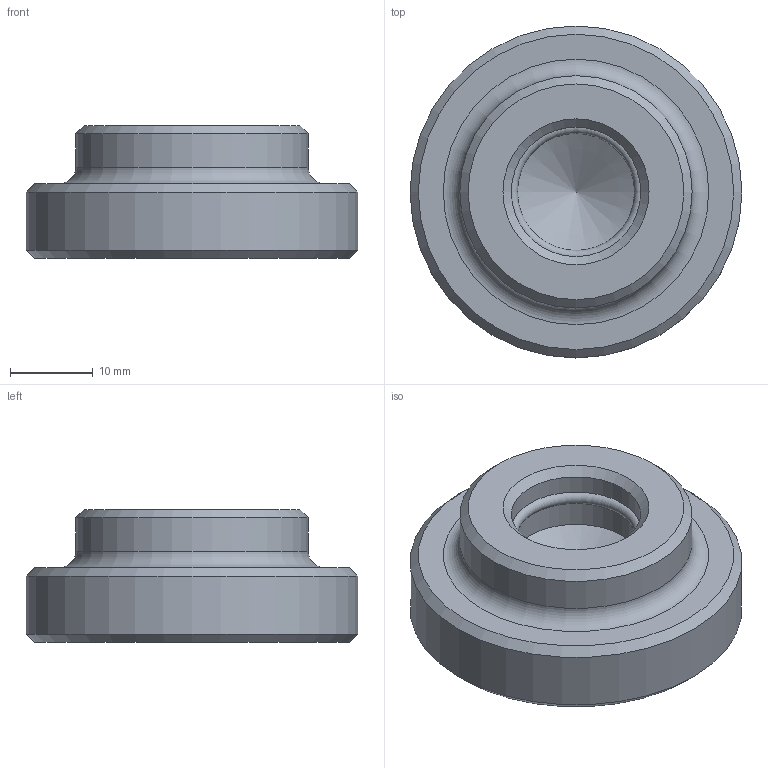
import cadquery as cq
import math

flange_radius = 20.0
flange_height = 9.0
boss_radius = 14.0
total_height = 16.0
edge_chamfer = 1.0
root_fillet = 2.0

bore_radius = 7.8
bore_floor_z = 8.0
drill_point_angle = 120.0
drill_point_depth = bore_radius / math.tan(math.radians(drill_point_angle / 2))

ridge_radius = 0.75
ridge_center_z = 12.0


def make_body():
    """Revolved flange and boss, with chamfered rims and a filleted root."""
    fillet_mid_offset = root_fillet * (1 - math.sqrt(0.5))
    profile = (
        cq.Workplane("XZ")
        .moveTo(0, 0)
        .lineTo(flange_radius - edge_chamfer, 0)
        .lineTo(flange_radius, edge_chamfer)
        .lineTo(flange_radius, flange_height - edge_chamfer)
        .lineTo(flange_radius - edge_chamfer, flange_height)
        .lineTo(boss_radius + root_fillet, flange_height)
        .threePointArc(
            (boss_radius + fillet_mid_offset, flange_height + fillet_mid_offset),
            (boss_radius, flange_height + root_fillet),
        )
        .lineTo(boss_radius, total_height - edge_chamfer)
        .lineTo(boss_radius - edge_chamfer, total_height)
        .lineTo(0, total_height)
        .close()
    )
    return profile.revolve(360, (0, 0, 0), (0, 1, 0))


def make_bore():
    """Revolved cavity: chamfered mouth, ridged wall and conical bottom."""
    profile = (
        cq.Workplane("XZ")
        .moveTo(0, bore_floor_z - drill_point_depth)
        .lineTo(bore_radius, bore_floor_z)
        .lineTo(bore_radius, ridge_center_z - ridge_radius)
        .threePointArc(
            (bore_radius - ridge_radius, ridge_center_z),
            (bore_radius, ridge_center_z + ridge_radius),
        )
        .lineTo(bore_radius, total_height - edge_chamfer)
        .lineTo(bore_radius + edge_chamfer, total_height)
        .lineTo(0, total_height)
        .close()
    )
    return profile.revolve(360, (0, 0, 0), (0, 1, 0))


result = make_body().cut(make_bore())